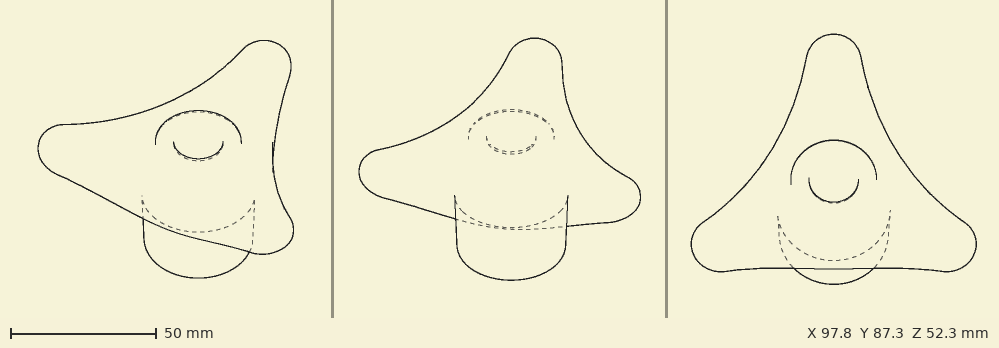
import cadquery as cq
import math

ARM_COUNT = 3
TIP_DISTANCE = 45.5
TIP_RADIUS = 9.5
WAIST_DISTANCE = 25.4

DISH_RADIUS = 250.0
DISH_LOW_Z = 47.65
TOP_FILLET = 6.3

CONE_ANGLE = 26.0
CONE_START_Z = 25.0
BOTTOM_FILLET = 5.7

HUB_BASE_RADIUS = 18.65
HUB_TOP_RADIUS = 19.45
HUB_BASE_FILLET = 1.8
NECK_FILLET = 2.8

RING_TOP_Z = 49.25
RING_DIAMETER = 29.46
RING_BORE_DIAMETER = 16.96
RING_RIM_FILLET = 0.3
RING_FOOT_FILLET = 0.5

HEAD_REACH = TIP_DISTANCE + TIP_RADIUS
BLANK_MARGIN = 10.0
BLANK_RADIUS = HEAD_REACH + BLANK_MARGIN
BLANK_TOP_Z = DISH_LOW_Z + BLANK_MARGIN
OVERLAP = 1.0


def polar(distance, degrees):
    angle = math.radians(degrees)
    return (distance * math.cos(angle), distance * math.sin(angle))


def cone_z(radius):
    """Height of the conical underside at a distance from the hub axis."""
    slope = math.tan(math.radians(CONE_ANGLE))
    return CONE_START_Z + (radius - HUB_TOP_RADIUS) * slope


def head_outline():
    """Prism whose outline is round tips joined by tangent concave sides."""
    step = 360.0 / ARM_COUNT
    half_step = math.radians(step / 2)

    tip_across = TIP_DISTANCE * math.sin(half_step)
    tip_depth = WAIST_DISTANCE - TIP_DISTANCE * math.cos(half_step)
    side_radius = (tip_across**2 + tip_depth**2 - TIP_RADIUS**2) / (2 * (TIP_RADIUS - tip_depth))

    sweep = math.atan2(tip_across, side_radius + tip_depth)
    across = side_radius * math.sin(sweep)
    depth = WAIST_DISTANCE + side_radius * (1 - math.cos(sweep))
    joint_distance = math.hypot(across, depth)
    joint_offset = step / 2 - math.degrees(math.atan2(across, depth))

    first_tip = 90.0
    outline = cq.Workplane("XY").moveTo(*polar(joint_distance, first_tip - joint_offset))
    for index in range(ARM_COUNT):
        tip = first_tip + index * step
        outline = outline.threePointArc(polar(HEAD_REACH, tip), polar(joint_distance, tip + joint_offset))
        outline = outline.threePointArc(
            polar(WAIST_DISTANCE, tip + step / 2),
            polar(joint_distance, tip + step - joint_offset),
        )
    return outline.close().extrude(BLANK_TOP_Z)


def make_head():
    """Outline trimmed by the dish above and the cone below, with rounded rims."""
    cone_blank = (
        cq.Workplane("XZ")
        .moveTo(0, cone_z(0))
        .lineTo(BLANK_RADIUS, cone_z(BLANK_RADIUS))
        .lineTo(BLANK_RADIUS, BLANK_TOP_Z)
        .lineTo(0, BLANK_TOP_Z)
        .close()
        .revolve(360, (0, 0), (0, 1))
    )
    dish_ball = (
        cq.Workplane("XY")
        .sphere(DISH_RADIUS)
        .rotate((0, 0, 0), (0, 1, 0), -90)
        .translate((0, 0, DISH_LOW_Z + DISH_RADIUS))
    )
    head = head_outline().intersect(cone_blank).cut(dish_ball)
    head = head.faces("%SPHERE").edges().fillet(TOP_FILLET)
    return head.faces("%CONE").edges("not %LINE").fillet(BOTTOM_FILLET)


def make_hub():
    """Tapered hub with a rounded foot, reaching up into the head."""
    taper = (HUB_TOP_RADIUS - HUB_BASE_RADIUS) / CONE_START_Z
    hub_top_z = CONE_START_Z + OVERLAP
    return (
        cq.Workplane("XZ")
        .lineTo(HUB_BASE_RADIUS, 0)
        .lineTo(HUB_BASE_RADIUS + taper * hub_top_z, hub_top_z)
        .lineTo(0, hub_top_z)
        .close()
        .revolve(360, (0, 0), (0, 1))
        .faces("<Z").edges().fillet(HUB_BASE_FILLET)
    )


def make_ring():
    """Flat ring with a rounded rim, reaching down into the head."""
    return (
        cq.Workplane("XY", origin=(0, 0, DISH_LOW_Z - OVERLAP))
        .circle(RING_DIAMETER / 2)
        .circle(RING_BORE_DIAMETER / 2)
        .extrude(RING_TOP_Z - DISH_LOW_Z + OVERLAP)
        .faces(">Z").edges().fillet(RING_RIM_FILLET)
    )


def joint_circle(radius, low_z, high_z):
    """Selects the edges that fit within a radius and between two heights."""
    reach = radius + OVERLAP / 2
    return cq.selectors.BoxSelector((-reach, -reach, low_z), (reach, reach, high_z), boundingbox=True)


def make_knob():
    """Head, hub and ring joined, with a fillet along each joint."""
    knob = make_head().union(make_hub())
    neck_joint = joint_circle(HUB_TOP_RADIUS, CONE_START_Z - OVERLAP, CONE_START_Z + OVERLAP)
    knob = knob.edges(neck_joint).fillet(NECK_FILLET)

    knob = knob.union(make_ring())
    ring_mid_z = (DISH_LOW_Z + RING_TOP_Z) / 2
    ring_joints = joint_circle(RING_DIAMETER / 2, DISH_LOW_Z, ring_mid_z)
    return knob.edges(ring_joints).fillet(RING_FOOT_FILLET)


result = make_knob()